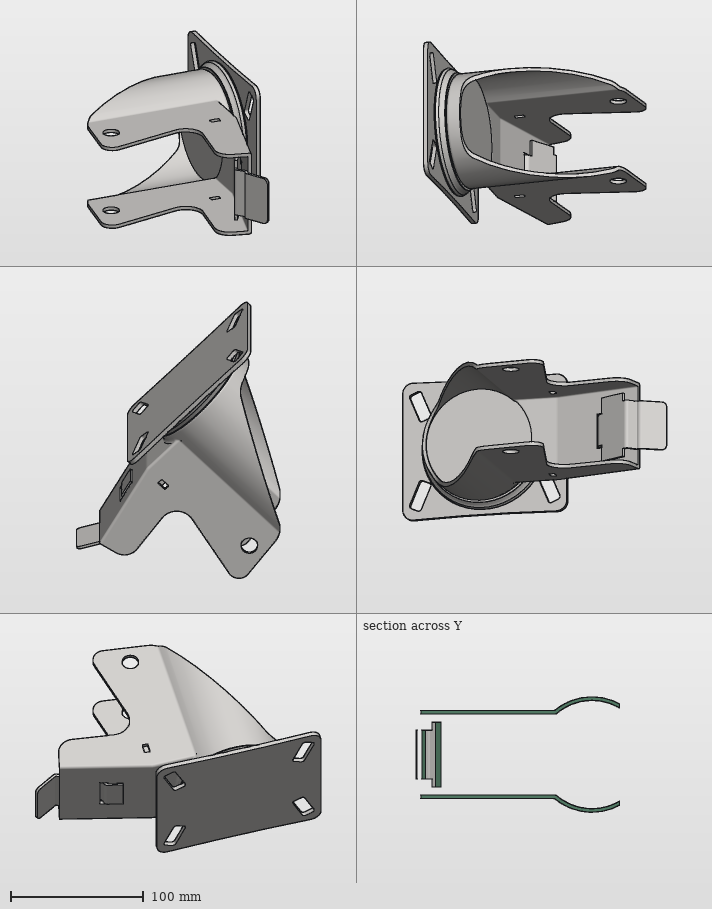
import cadquery as cq
import math


PLATE_LENGTH = 128.2
PLATE_WIDTH = 106.5
PLATE_THICKNESS = 3.5
PLATE_CORNER_RADIUS = 8.0
PLATE_EDGE_SAG = 1.3
SLOT_CENTRE_X = 50.5
SLOT_CENTRE_Z = 34.5
SLOT_LENGTH = 23.0
SLOT_WIDTH = 9.9
SLOT_ANGLE = 67
SLOT_CORNER_RADIUS = 2.1

RING_FLANK = [(48.3, -3.9), (48.7, -4.7), (47.6, -6.9), (46.5, -8.0), (44.5, -10.7), (44.5, -11.4)]

SHEET = 2.8
TUBE_RADIUS = 43.5
SIDE_HALF_WIDTH = 33.2
CROWN_Y = -11.0
BACK_Y = -18.7
BACK_BEND_X = 62.2
BACK_ANGLE = 14.5
BACK_BEND_RADIUS = 9.7
BACK_END_X = 130.4
FLOOR_Y = -21.0
NECK_FILLET = 2.0
BORE_FILLET = 2.1
TUBE_SIDE_FILLET = 2.8
OUTER_BEND_FILLET = 2.1
INNER_BEND_FILLET = 1.0

MOUTH_Y = -22.0
MOUTH_RADIUS = 12.9
MOUTH_CORNER_X = -32.2
HEEL_CORNER = (27.0, -127.8)
HEEL_RADIUS = 17.2
TOE_CORNER = (81.7, -134.9)
TOE_RADIUS = 8.8
THROAT_CORNER = (62.8, -52.3)
THROAT_RADIUS = 13.5
TAIL_CORNER = (124.5, -61.1)
TAIL_RADIUS = 12.0
AXLE_HOLE_X = 52.1
AXLE_HOLE_Y = -117.5
AXLE_HOLE_DIAMETER = 12.5
WINDOW_CENTRE = (62.5, -36.5)
WINDOW_WIDTH = 4.3
WINDOW_HEIGHT = 7.5
WINDOW_CORNER_RADIUS = 0.6

TAB_SLOT_START_X = 95.0
TAB_SLOT_END_X = 100.8
TAB_SLOT_HALF_WIDTH = 13.3

LEVER_SHEET = 2.1
LEVER_BEND_RADIUS = 0.9
LEVER_ANGLE = 30
HOOK_SINK = 0.9
HOOK_START_X = 83.6
HOOK_BEND_X = 95.6
TAB_HALF_WIDTH = 12.0
BLOCK_TOP = (97.4, -32.8)
BLOCK_START_X = 100.0
BLOCK_END_X = 119.5
BLOCK_BEND_X = 122.9
BLOCK_HALF_WIDTH = 24.5
RISER_ANGLE = 45
RISER_RUN = 6.5
CREST_RUN = 2.8
PEDAL_END_X = 150.3
PEDAL_HALF_WIDTH = 18.5
PEDAL_CORNER_RADIUS = 3.9

REACH = 171.5
MARGIN = 1.0


def rounded_outline(corners):
    """Closed outline through (x, y, radius) corners, each rounded by a tangent arc."""
    stretches = []
    count = len(corners)
    for i, (x, y, radius) in enumerate(corners):
        corner = cq.Vector(x, y)
        if radius == 0:
            stretches.append((corner,))
            continue
        to_previous = (cq.Vector(*corners[i - 1][:2]) - corner).normalized()
        to_next = (cq.Vector(*corners[(i + 1) % count][:2]) - corner).normalized()
        half_angle = to_previous.getAngle(to_next) / 2
        tangent_length = radius / math.tan(half_angle)
        bisector = (to_previous + to_next).normalized()
        middle = corner + bisector * (radius / math.sin(half_angle) - radius)
        start = corner + to_previous * tangent_length
        end = corner + to_next * tangent_length
        stretches.append((start, middle, end))

    outline = cq.Workplane("XY").moveTo(stretches[0][0].x, stretches[0][0].y)
    for i, stretch in enumerate(stretches):
        if i > 0:
            outline = outline.lineTo(stretch[0].x, stretch[0].y)
        if len(stretch) == 3:
            outline = outline.threePointArc(stretch[1].toTuple()[:2], stretch[2].toTuple()[:2])
    return outline.close()


def prism(corners, half_width):
    """Solid with a rounded XY outline, centred on z = 0."""
    return rounded_outline(corners).extrude(half_width, both=True)


def along(start, angle, run):
    """Point reached from start on a line at an angle to X after a given run in X."""
    return (start[0] + run, start[1] + run * math.tan(math.radians(angle)))


def disc(radius, top_y, bottom_y):
    """Cylinder on the swivel axis."""
    return cq.Workplane("XZ", origin=(0, top_y, 0)).circle(radius).extrude(top_y - bottom_y)


def back_wall_y(x):
    """Height of the outer face of the sloping back wall."""
    return along((BACK_BEND_X, BACK_Y), -BACK_ANGLE, x - BACK_BEND_X)[1]


def make_plate():
    half_x = PLATE_LENGTH / 2
    half_z = PLATE_WIDTH / 2
    plate = (
        cq.Workplane("XZ")
        .moveTo(-half_x, -half_z)
        .threePointArc((0, PLATE_EDGE_SAG - half_z), (half_x, -half_z))
        .lineTo(half_x, half_z)
        .threePointArc((0, half_z - PLATE_EDGE_SAG), (-half_x, half_z))
        .close()
        .extrude(PLATE_THICKNESS)
        .edges("|Y")
        .fillet(PLATE_CORNER_RADIUS)
    )
    for side_x in (-1, 1):
        for side_z in (-1, 1):
            slot = (
                cq.Workplane("XY")
                .box(SLOT_LENGTH, REACH, SLOT_WIDTH)
                .edges("|Y")
                .fillet(SLOT_CORNER_RADIUS)
                .rotate((0, 0, 0), (0, 1, 0), -side_x * side_z * SLOT_ANGLE)
                .translate((side_x * SLOT_CENTRE_X, 0, side_z * SLOT_CENTRE_Z))
            )
            plate = plate.cut(slot)
    return plate


def make_ring():
    top_y = -PLATE_THICKNESS
    bottom_y = RING_FLANK[-1][1]
    profile = [(0, top_y), (RING_FLANK[0][0], top_y)] + RING_FLANK + [(0, bottom_y)]
    return cq.Workplane("XY").polyline(profile).close().revolve(360, (0, 0, 0), (0, 1, 0))


def make_fork_hull():
    """Solid outside of the fork: swivel neck, half tube, side walls and bent back."""
    corner_x = math.sqrt(TUBE_RADIUS**2 - SIDE_HALF_WIDTH**2)
    box = cq.Workplane("XY").box(REACH, REACH, 2 * SIDE_HALF_WIDTH, centered=(False, False, True))
    hull = disc(TUBE_RADIUS, BACK_Y, BACK_Y - REACH).union(box.translate((0, BACK_Y - REACH, 0)))
    tube_corners = cq.selectors.BoxSelector(
        (corner_x - MARGIN, -REACH, -REACH),
        (corner_x + MARGIN, BACK_Y, REACH),
    )
    hull = hull.edges("|Y").edges(tube_corners).fillet(TUBE_SIDE_FILLET)
    side = prism(
        [
            (-REACH, BACK_Y, 0),
            (BACK_BEND_X, BACK_Y, BACK_BEND_RADIUS),
            (BACK_END_X, back_wall_y(BACK_END_X), 0),
            (*TAIL_CORNER, TAIL_RADIUS),
            (*THROAT_CORNER, THROAT_RADIUS),
            (*TOE_CORNER, TOE_RADIUS),
            (*HEEL_CORNER, HEEL_RADIUS),
            (MOUTH_CORNER_X, MOUTH_Y, MOUTH_RADIUS),
            (-REACH, MOUTH_Y, 0),
        ],
        REACH,
    )
    hull = hull.intersect(side)
    back_bends = cq.selectors.BoxSelector(
        (corner_x + MARGIN, back_wall_y(BACK_END_X), -REACH), (BACK_END_X, 0, REACH)
    )
    hull = hull.edges(back_bends).edges("not |Z").fillet(OUTER_BEND_FILLET)
    neck = disc(TUBE_RADIUS, CROWN_Y, MOUTH_Y).edges(">Y").fillet(SHEET)
    hull = hull.union(neck)
    neck_foot = cq.selectors.BoxSelector(
        (corner_x, BACK_Y - MARGIN, -REACH), (TUBE_RADIUS + MARGIN, BACK_Y + MARGIN, REACH)
    )
    return hull.edges("%CIRCLE").edges(neck_foot).fillet(NECK_FILLET)


def make_fork_cavity():
    """Space inside the fork: bore under the crown and gap between the side walls."""
    bore = disc(TUBE_RADIUS - SHEET, CROWN_Y - SHEET, -REACH)
    inner_y = BACK_Y - SHEET
    inner_bend = BACK_BEND_X - SHEET * math.tan(math.radians(BACK_ANGLE / 2))
    gap = prism(
        [
            (0, inner_y, 0),
            (inner_bend, inner_y, BACK_BEND_RADIUS - SHEET),
            (*along((inner_bend, inner_y), -BACK_ANGLE, REACH), 0),
            (REACH, -REACH, 0),
            (0, -REACH, 0),
        ],
        SIDE_HALF_WIDTH - SHEET,
    )
    top_edges = cq.selectors.BoxSelector((MARGIN, -REACH / 2, -REACH), (REACH, 0, REACH))
    gap = gap.edges(top_edges).edges("not |Z").edges("not |Y").fillet(INNER_BEND_FILLET)
    cavity = bore.union(gap)
    bore_rim = cq.selectors.BoxSelector(
        (SIDE_HALF_WIDTH, inner_y - MARGIN, -REACH), (TUBE_RADIUS, inner_y + MARGIN, REACH)
    )
    cavity = cavity.edges("%CIRCLE").edges(bore_rim).fillet(BORE_FILLET)
    return cavity.intersect(disc(REACH, FLOOR_Y, -REACH))


def make_fork():
    fork = make_fork_hull().cut(make_fork_cavity())
    axle_hole = (
        cq.Workplane("XY")
        .center(AXLE_HOLE_X, AXLE_HOLE_Y)
        .circle(AXLE_HOLE_DIAMETER / 2)
        .extrude(REACH, both=True)
    )
    window = (
        cq.Workplane("XY")
        .center(*WINDOW_CENTRE)
        .rect(WINDOW_WIDTH, WINDOW_HEIGHT)
        .extrude(REACH, both=True)
        .edges("|Z")
        .fillet(WINDOW_CORNER_RADIUS)
    )
    tab_slot = (
        cq.Workplane("XZ")
        .moveTo((TAB_SLOT_START_X + TAB_SLOT_END_X) / 2, 0)
        .rect(TAB_SLOT_END_X - TAB_SLOT_START_X, 2 * TAB_SLOT_HALF_WIDTH)
        .extrude(REACH)
    )
    return fork.cut(axle_hole).cut(window).cut(tab_slot)


def strip(path, half_width):
    """Bent strip whose lower face follows the path, with rounded bends and square ends."""
    lower = [cq.Vector(*point) for point in path]
    normals = []
    for start, end in zip(lower, lower[1:]):
        run = (end - start).normalized()
        normals.append(cq.Vector(-run.y, run.x))
    corners = [(*path[0], 0)]
    upper_start = lower[0] + normals[0] * LEVER_SHEET
    upper_end = lower[-1] + normals[-1] * LEVER_SHEET
    upper_corners = [(upper_start.x, upper_start.y, 0)]
    outer = LEVER_BEND_RADIUS + LEVER_SHEET
    for point, before, after in zip(lower[1:-1], normals, normals[1:]):
        bends_down = before.cross(after).z < 0
        corners.append((point.x, point.y, LEVER_BEND_RADIUS if bends_down else outer))
        upper = point + (before + after) * (LEVER_SHEET / (1 + before.dot(after)))
        upper_corners.append((upper.x, upper.y, outer if bends_down else LEVER_BEND_RADIUS))
    corners.append((*path[-1], 0))
    upper_corners.append((upper_end.x, upper_end.y, 0))
    return prism(corners + upper_corners[::-1], half_width)


def make_brake_lever():
    block_start = along(BLOCK_TOP, -LEVER_ANGLE, BLOCK_START_X - BLOCK_TOP[0])
    block_end = along(BLOCK_TOP, -LEVER_ANGLE, BLOCK_END_X - BLOCK_TOP[0])
    riser_start = along(BLOCK_TOP, -LEVER_ANGLE, BLOCK_BEND_X - BLOCK_TOP[0])
    riser_end = along(riser_start, RISER_ANGLE, RISER_RUN)
    pedal_start = along(riser_end, -LEVER_ANGLE, CREST_RUN)
    pedal_end = along(pedal_start, LEVER_ANGLE, PEDAL_END_X - pedal_start[0])

    tab = strip(
        [
            (HOOK_START_X, back_wall_y(HOOK_START_X) - HOOK_SINK),
            (HOOK_BEND_X, back_wall_y(HOOK_BEND_X) - HOOK_SINK),
            BLOCK_TOP,
            block_end,
        ],
        TAB_HALF_WIDTH,
    )
    block = strip([block_start, block_end], BLOCK_HALF_WIDTH)
    pedal = strip([block_start, riser_start, riser_end, pedal_start, pedal_end], PEDAL_HALF_WIDTH)
    tip_corners = cq.selectors.BoxSelector(
        (PEDAL_END_X - LEVER_SHEET, -REACH, -REACH), (PEDAL_END_X + MARGIN, 0, REACH)
    )
    pedal = pedal.edges(tip_corners).edges("not |Z").fillet(PEDAL_CORNER_RADIUS)
    return tab.union(block).union(pedal)


brake_lever = make_brake_lever()
housing = make_plate().union(make_ring()).union(make_fork()).cut(brake_lever)

result = cq.Compound.makeCompound([*housing.solids().vals(), *brake_lever.solids().vals()])